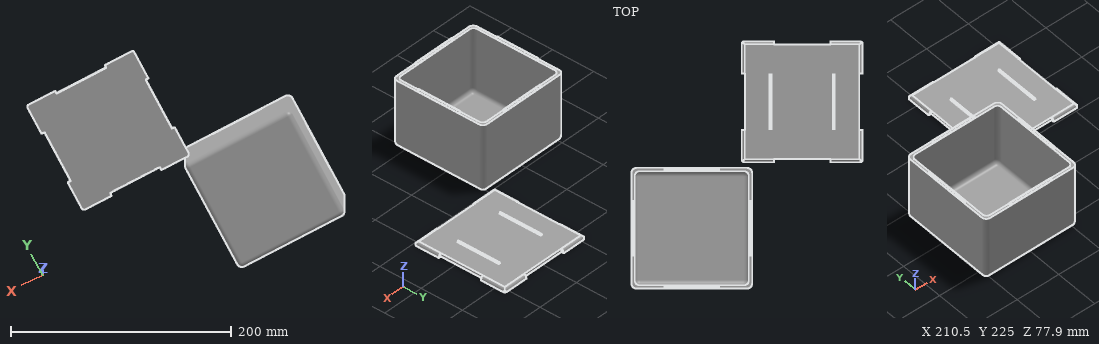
import cadquery as cq

outer_side = 110.0
cavity_side = 104.0
box_height = 75.9
box_round = 5.0

lid_shift_x = 100.5
lid_shift_y = 115.0
lid_thickness = 4.0
lid_shoulder = 3.0
lid_corner_round = 2.5
notch_length = 51.0

ridge_length = 50.0
ridge_width = 2.0
ridge_crest = 0.7
rim_ridge_height = 2.0
lid_ridge_height = 1.4
lid_ridge_offset = 28.8

wall = (outer_side - cavity_side) / 2
lid_top_side = outer_side - 2 * lid_shoulder
shoulder_radius = (lid_thickness**2 + lid_shoulder**2) / (2 * lid_shoulder)
rim_middle = (outer_side - wall) / 2


def rounded_block(side, bottom, top):
    """Square block with round vertical and bottom edges and a sharp-edged top."""
    block = cq.Workplane("XY", origin=(0, 0, bottom)).rect(side, side).extrude(top - bottom)
    return block.edges("|Z").fillet(box_round).faces("<Z").edges().fillet(box_round)


def make_box():
    """Open-topped box with an even wall."""
    shell = rounded_block(outer_side, 0, box_height)
    return shell.cut(rounded_block(cavity_side, wall, box_height))


def make_ridge(height):
    """Ridge of tapered section along Y, with its base at Z = 0."""
    return (
        cq.Workplane("XZ", origin=(0, ridge_length / 2, 0))
        .moveTo(-ridge_width / 2, 0)
        .lineTo(ridge_width / 2, 0)
        .lineTo(ridge_crest / 2, height)
        .lineTo(-ridge_crest / 2, height)
        .close()
        .extrude(ridge_length)
    )


def shouldered_bar(plane):
    """Bar as long as the lid, whose long sides are rounded shoulders."""
    half = outer_side / 2
    half_top = lid_top_side / 2
    return (
        cq.Workplane(plane)
        .moveTo(-half, 0)
        .lineTo(half, 0)
        .radiusArc((half_top, lid_thickness), -shoulder_radius)
        .lineTo(-half_top, lid_thickness)
        .radiusArc((-half, 0), -shoulder_radius)
        .close()
        .extrude(half, both=True)
    )


def make_lid():
    """Plate with mitred round shoulders, notched to its top face midway along each side."""
    plate = cq.Workplane("XY").rect(outer_side, outer_side).extrude(lid_thickness)
    plate = plate.edges("|Z").fillet(lid_corner_round)
    plate = plate.intersect(shouldered_bar("XZ")).intersect(shouldered_bar("YZ"))
    notches = (
        cq.Workplane("XY")
        .polarArray(outer_side / 2, 0, 360, 4)
        .rect(2 * lid_shoulder, notch_length)
        .extrude(lid_thickness)
    )
    return plate.cut(notches)


box = make_box()

rim_ridges = []
for angle in (0, 90, 180, 270):
    ridge = make_ridge(rim_ridge_height).translate((rim_middle, 0, box_height))
    rim_ridges.append(ridge.rotate((0, 0, 0), (0, 0, 1), angle))

lid = make_lid().translate((lid_shift_x, lid_shift_y, 0))

lid_ridges = []
for side in (-1, 1):
    ridge_x = lid_shift_x + side * lid_ridge_offset
    lid_ridges.append(make_ridge(lid_ridge_height).translate((ridge_x, lid_shift_y, lid_thickness)))

bodies = [box, *rim_ridges, lid, *lid_ridges]
result = cq.Compound.makeCompound([body.val() for body in bodies])